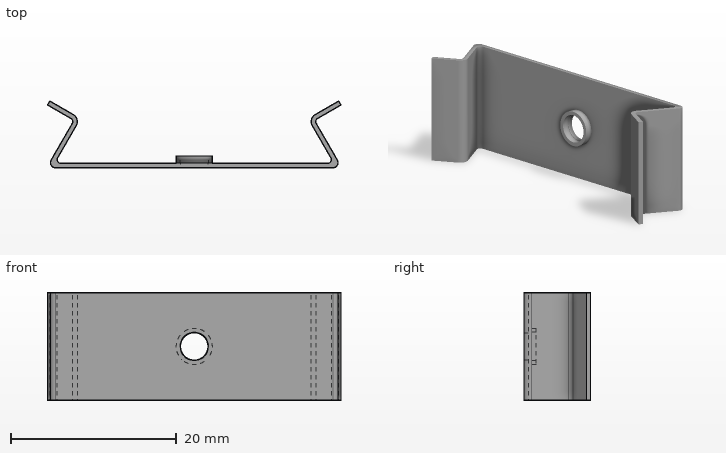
import cadquery as cq
import math

overall_length = 35.4
overall_depth = 8.07
height = 13.0
thickness = 0.55
arm_angle = 60.0
corner_half_span = 17.8
foot_outer_radius = 0.65
foot_inner_radius = 0.42
knee_inner_radius = 0.42
boss_diameter = 4.35
boss_top = 1.45
base_hole_diameter = 3.3
boss_hole_diameter = 3.45

half_length = overall_length / 2
angle = math.radians(arm_angle)
slope = math.tan(angle)

tip_outer_y = overall_depth - thickness * math.sin(angle)
knee_outer_y = (tip_outer_y - (half_length - corner_half_span) / slope) / (1 + 1 / slope**2)
knee_outer_x = corner_half_span - knee_outer_y / slope
knee_shift_x = thickness * (math.sin(angle) + math.cos(angle))
knee_shift_y = thickness * (math.sin(angle) - math.cos(angle))

foot_outer = (corner_half_span, 0)
knee_outer = (knee_outer_x, knee_outer_y)
tip_outer = (half_length, tip_outer_y)
tip_inner = (half_length - thickness * math.cos(angle), overall_depth)
knee_inner = (knee_outer_x - knee_shift_x, knee_outer_y + knee_shift_y)
foot_inner = (corner_half_span - thickness / math.tan(angle / 2), thickness)


def mirrored(point):
    return (-point[0], point[1])


def round_bend(body, corner, radius):
    """Round the upright edge at a sharp corner and its mirror image."""
    for x, y in (corner, mirrored(corner)):
        edge = cq.selectors.NearestToPointSelector((x, y, 0))
        body = body.edges("|Z").edges(edge).fillet(radius)
    return body


right_side = [foot_outer, knee_outer, tip_outer, tip_inner, knee_inner, foot_inner]
left_side = [mirrored(point) for point in reversed(right_side)]
clip = cq.Workplane("XY").polyline(right_side + left_side).close().extrude(height / 2, both=True)
clip = round_bend(clip, foot_outer, foot_outer_radius)
clip = round_bend(clip, foot_inner, foot_inner_radius)
clip = round_bend(clip, knee_outer, knee_inner_radius)
clip = round_bend(clip, knee_inner, knee_inner_radius + thickness)

boss = cq.Workplane("XZ").circle(boss_diameter / 2).extrude(-boss_top)
base_hole = cq.Workplane("XZ").circle(base_hole_diameter / 2).extrude(-boss_top)
boss_hole = cq.Workplane("XZ", origin=(0, thickness, 0)).circle(boss_hole_diameter / 2).extrude(thickness - boss_top)
result = clip.union(boss).cut(base_hole).cut(boss_hole)